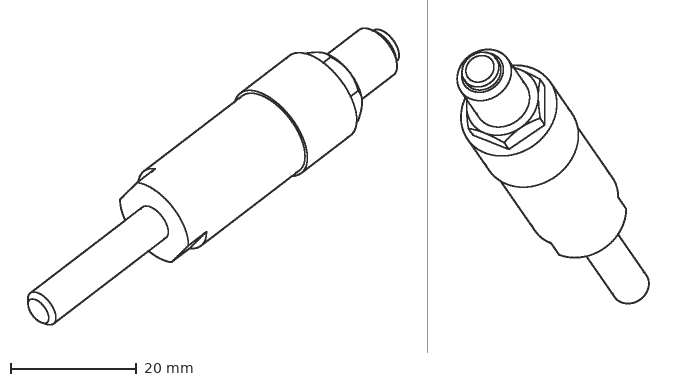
import cadquery as cq

total_length = 81.0

body_front = 27.0
wrench_flat_length = 4.2
collar_front = 54.1
collar_length = 11.5
hex_length = 3.4
stud_chamfer_front = 78.7
pin_front = 79.6

collar_rear = collar_front + collar_length
hex_rear = collar_rear + hex_length

plunger_diameter = 6.15
body_diameter = 15.0
collar_diameter = 16.0
stud_diameter = 9.1
stud_end_diameter = 7.0
pin_diameter = 6.15
wrench_width = 13.0
hex_width = 12.0

plunger_chamfer = 0.8
pin_chamfer_length = 0.25
pin_chamfer_depth = 0.7
hex_chamfer_reach = 1.2

wrench_angle = 30.0


def turned(profile):
    """Revolve (radius, y) points, closed along the axis, about the Y axis."""
    on_axis_start = (0, profile[0][1])
    on_axis_end = (0, profile[-1][1])
    outline = cq.Workplane("XY").polyline([on_axis_start, *profile, on_axis_end]).close()
    return outline.revolve(360, (0, 0, 0), (0, 1, 0))


def plunger_and_body():
    plunger_radius = plunger_diameter / 2
    body_radius = body_diameter / 2
    collar_radius = collar_diameter / 2
    return turned([
        (plunger_radius - plunger_chamfer, 0),
        (plunger_radius, plunger_chamfer),
        (plunger_radius, body_front),
        (body_radius, body_front),
        (body_radius, collar_front),
        (collar_radius, collar_front),
        (collar_radius, collar_rear),
    ])


def rear_stud():
    stud_radius = stud_diameter / 2
    pin_radius = pin_diameter / 2
    return turned([
        (stud_radius, collar_rear),
        (stud_radius, stud_chamfer_front),
        (stud_end_diameter / 2, pin_front),
        (pin_radius, pin_front),
        (pin_radius, total_length - pin_chamfer_length),
        (pin_radius - pin_chamfer_depth, total_length),
    ])


def hex_nut():
    """Hexagon with flats facing +X and -X, its rear corners turned off at 45 degrees."""
    prism = (
        cq.Workplane("XZ", origin=(0, hex_rear, 0))
        .polygon(6, hex_width, circumscribed=True)
        .extrude(hex_length)
    )
    face_radius = hex_width / 2
    envelope = turned([
        (face_radius + hex_chamfer_reach, collar_rear),
        (face_radius + hex_chamfer_reach, hex_rear - hex_chamfer_reach),
        (face_radius, hex_rear),
    ])
    return prism.intersect(envelope)


def wrench_flat_cuts():
    """Two opposite blocks that leave the body front at the wrench width."""
    block_depth = body_diameter - wrench_width
    block_offset = (wrench_width + block_depth) / 2
    blocks = (
        cq.Workplane("XY")
        .pushPoints([(-block_offset, 0), (block_offset, 0)])
        .box(block_depth, wrench_flat_length, body_diameter)
        .translate((0, body_front + wrench_flat_length / 2, 0))
    )
    return blocks.rotate((0, 0, 0), (0, 1, 0), wrench_angle)


part = plunger_and_body().cut(wrench_flat_cuts()).union(hex_nut()).union(rear_stud())

result = part.translate((0, -total_length / 2, 0))